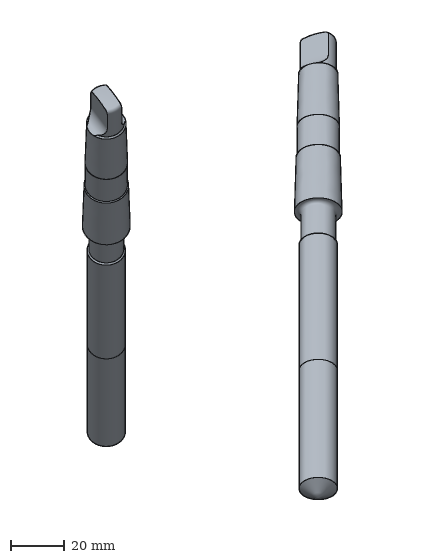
import cadquery as cq
import math

TOTAL_LENGTH = 212.0

DRILL_DIAMETER = 14.5
POINT_ANGLE = 118.0
CUTTING_TOP = 58.7
DRILL_TOP = 117.5

NECK_DIAMETER = 13.1
NECK_FILLET = 1.5

TAPER_LARGE_DIAMETER = 18.0
TAPER_BOTTOM = 131.9
TAPER_TOP = 195.9
TAPER_RATIO = 0.05
RELIEF_BOTTOM = 156.9
RELIEF_TOP = 171.0
RELIEF_DIAMETER = 16.0

TANG_DIAMETER = 13.5
TANG_THICKNESS = 6.4
TANG_ANGLE = 8.0
FLAT_BOTTOM = 201.0
FLAT_RUNOUT_RADIUS = 6.1
TANG_EDGE_RADIUS = 1.7
TANG_DOME_HEIGHT = 0.6

drill_radius = DRILL_DIAMETER / 2
neck_radius = NECK_DIAMETER / 2
tang_radius = TANG_DIAMETER / 2
point_height = drill_radius / math.tan(math.radians(POINT_ANGLE / 2))
shoulder_chamfer = drill_radius - neck_radius


def taper_radius(z):
    """Radius of the Morse taper at height z."""
    return (TAPER_LARGE_DIAMETER - TAPER_RATIO * (z - TAPER_BOTTOM)) / 2


def make_cutting_part():
    """Lower cylinder with a conical drill point."""
    return (
        cq.Workplane("XZ")
        .moveTo(0, 0)
        .lineTo(drill_radius, point_height)
        .lineTo(drill_radius, CUTTING_TOP)
        .lineTo(0, CUTTING_TOP)
        .close()
        .revolve(360, (0, 0), (0, 1))
    )


def make_shank_blank():
    """Turned shank: drill diameter, neck, taper and round, domed tang."""
    relief_radius = RELIEF_DIAMETER / 2
    relief_chamfer = taper_radius(RELIEF_BOTTOM) - relief_radius
    fillet_inset = NECK_FILLET * (1 - math.sqrt(0.5))
    tang_shoulder = TAPER_TOP - (taper_radius(TAPER_TOP) - tang_radius)
    dome_radius = tang_radius - TANG_EDGE_RADIUS
    dome_bottom = TOTAL_LENGTH - TANG_DOME_HEIGHT
    edge_bottom = dome_bottom - TANG_EDGE_RADIUS
    edge_middle = TANG_EDGE_RADIUS * math.sqrt(0.5)
    sphere_radius = (dome_radius**2 + TANG_DOME_HEIGHT**2) / (2 * TANG_DOME_HEIGHT)
    half_way = dome_radius / 2
    dome_middle_z = TOTAL_LENGTH - sphere_radius + math.sqrt(sphere_radius**2 - half_way**2)
    return (
        cq.Workplane("XZ")
        .moveTo(0, CUTTING_TOP)
        .lineTo(drill_radius, CUTTING_TOP)
        .lineTo(drill_radius, DRILL_TOP - shoulder_chamfer)
        .lineTo(neck_radius, DRILL_TOP)
        .lineTo(neck_radius, TAPER_BOTTOM - NECK_FILLET)
        .threePointArc(
            (neck_radius + fillet_inset, TAPER_BOTTOM - fillet_inset),
            (neck_radius + NECK_FILLET, TAPER_BOTTOM),
        )
        .lineTo(taper_radius(TAPER_BOTTOM), TAPER_BOTTOM)
        .lineTo(taper_radius(RELIEF_BOTTOM), RELIEF_BOTTOM)
        .lineTo(relief_radius, RELIEF_BOTTOM + relief_chamfer)
        .lineTo(relief_radius, RELIEF_TOP)
        .lineTo(taper_radius(RELIEF_TOP), RELIEF_TOP)
        .lineTo(taper_radius(tang_shoulder), tang_shoulder)
        .lineTo(tang_radius, TAPER_TOP)
        .lineTo(tang_radius, edge_bottom)
        .threePointArc((dome_radius + edge_middle, edge_bottom + edge_middle), (dome_radius, dome_bottom))
        .threePointArc((half_way, dome_middle_z), (0, TOTAL_LENGTH))
        .close()
        .revolve(360, (0, 0), (0, 1))
    )


def make_flat_cutter():
    """Tool that mills one tang flat, ending below in a concave run-out."""
    flat_y = TANG_THICKNESS / 2
    arc_centre_y = flat_y + FLAT_RUNOUT_RADIUS
    arc_middle = FLAT_RUNOUT_RADIUS * math.sqrt(0.5)
    return (
        cq.Workplane("YZ")
        .moveTo(flat_y, TOTAL_LENGTH)
        .lineTo(flat_y, FLAT_BOTTOM)
        .threePointArc(
            (arc_centre_y - arc_middle, FLAT_BOTTOM - arc_middle),
            (arc_centre_y, FLAT_BOTTOM - FLAT_RUNOUT_RADIUS),
        )
        .lineTo(arc_centre_y, TOTAL_LENGTH)
        .close()
        .extrude(tang_radius * 2, both=True)
    )


def make_shank():
    """Shank with two opposite flats milled on its tang."""
    shank = make_shank_blank()
    cutter = make_flat_cutter()
    for side_angle in (0, 180):
        shank = shank.cut(cutter.rotate((0, 0, 0), (0, 0, 1), TANG_ANGLE + side_angle))
    return shank


cutting_part = make_cutting_part()
shank = make_shank()

result = cq.Compound.makeCompound([cutting_part.val(), *shank.vals()])